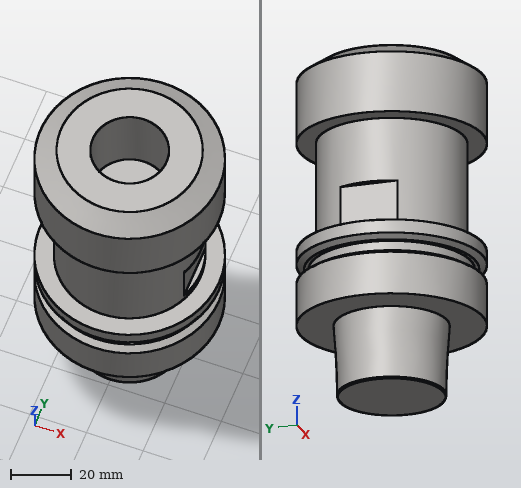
import cadquery as cq

total_height = 115.0
outer_radius = 31.5

shank_height = 25.0
shank_top_radius = 19.2
shank_middle_radius = 18.4
shank_tip_radius = 18.0
tip_chamfer_height = 0.6
tip_chamfer_width = 0.2

flange_top = 51.0
groove_radius = 27.5
groove_bottom = 41.0
groove_top = 44.8
groove_lip_radius = 29.0
groove_lip_height = 1.5

body_radius = 25.1
flat_bottom = 53.1
flat_height = 13.9
flat_distance = 23.0

nut_height = 26.0
nut_top_radius = 24.2
nut_chamfer_height = 5.0
bore_radius = 13.0
bore_depth = nut_height


def make_turned_body():
    """Revolve the half outline, drawn as (radius, height), about Z."""
    nut_bottom = total_height - nut_height
    outline = (
        cq.Workplane("XZ")
        .lineTo(shank_tip_radius - tip_chamfer_width, 0)
        .lineTo(shank_tip_radius, tip_chamfer_height)
        .threePointArc(
            (shank_middle_radius, (shank_height + tip_chamfer_height) / 2),
            (shank_top_radius, shank_height),
        )
        .lineTo(outer_radius, shank_height)
        .lineTo(outer_radius, groove_bottom - groove_lip_height)
        .lineTo(groove_lip_radius, groove_bottom)
        .lineTo(groove_radius, groove_bottom)
        .lineTo(groove_radius, groove_top)
        .lineTo(groove_lip_radius, groove_top)
        .lineTo(outer_radius, groove_top + groove_lip_height)
        .lineTo(outer_radius, flange_top)
        .lineTo(body_radius, flange_top)
        .lineTo(body_radius, nut_bottom)
        .lineTo(outer_radius, nut_bottom)
        .lineTo(outer_radius, total_height - nut_chamfer_height)
        .lineTo(nut_top_radius, total_height)
        .lineTo(0, total_height)
        .close()
    )
    return outline.revolve(360, (0, 0, 0), (0, 1, 0))


def make_flat_cutter(side):
    """Block that cuts one wrench flat; side is -1 or +1 along X."""
    block_depth = body_radius - flat_distance
    block_center = side * (flat_distance + block_depth / 2)
    return (
        cq.Workplane("XY", origin=(block_center, 0, flat_bottom))
        .box(block_depth, 2 * body_radius, flat_height, centered=(True, True, False))
    )


def make_bore():
    """Blind tool bore, open at the top of the nut."""
    bore_floor = total_height - bore_depth
    return cq.Workplane("XY", origin=(0, 0, bore_floor)).circle(bore_radius).extrude(bore_depth)


result = make_turned_body().cut(make_bore())
for side in (-1, 1):
    result = result.cut(make_flat_cutter(side))